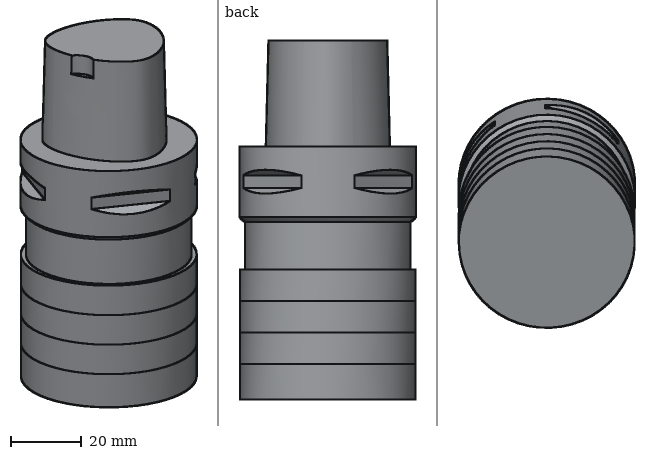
import cadquery as cq
import math

TOTAL_HEIGHT = 101.7
SHANK_HEIGHT = 30.0
FLANGE_HEIGHT = 20.0
DISC_STACK_HEIGHT = 36.9
FLANGE_TOP = TOTAL_HEIGHT - SHANK_HEIGHT
FLANGE_BOTTOM = FLANGE_TOP - FLANGE_HEIGHT

FLANGE_RADIUS = 50.0 / 2
NECK_RADIUS = 47.0 / 2
FLANGE_CHAMFER = 0.8
NECK_CONE_HEIGHT = 0.5

SHANK_BASE_RADIUS = 17.6
LOBE_HEIGHT = 1.2
TAPER = 1 / 40
SHANK_TOP_RADIUS = SHANK_BASE_RADIUS - SHANK_HEIGHT * TAPER
LOBE_COUNT = 3
LOBE_SPAN = 71.0
FIRST_LOBE_ANGLE = 90.0

NOTCH_RADIUS = 4.9
NOTCH_INNER_Y = -13.9
NOTCH_DEPTH = 5.6

SLOT_COUNT = 4
SLOT_FIRST_ANGLE = 45.0
SLOT_CENTER_Z = 61.7
SLOT_FLOOR_HEIGHT = 3.5
SLOT_FLOOR_DISTANCE = 22.2
SLOT_FLANK_ANGLE = 30.0

DISC_COUNT = 4
DISC_RADIUS = 24.9
DISC_HEIGHT = 9.0
END_DISC_HEIGHT = DISC_STACK_HEIGHT - (DISC_COUNT - 1) * DISC_HEIGHT


def shank_face_edge(mean_radius, z, start_angle, end_angle):
    """Part of the lobed outline whose outward normals lie between two angles."""
    span = end_angle - start_angle

    def outline_point(fraction):
        normal = math.radians(start_angle + span * fraction)
        turn = math.radians(FIRST_LOBE_ANGLE)
        phase = LOBE_COUNT * (normal - turn)
        support = mean_radius + LOBE_HEIGHT * math.cos(phase)
        slope = -LOBE_COUNT * LOBE_HEIGHT * math.sin(phase)
        x = support * math.cos(normal) - slope * math.sin(normal)
        y = support * math.sin(normal) + slope * math.cos(normal)
        return x, y, z

    return cq.Workplane("XY").parametricCurve(outline_point, N=20, makeWire=False).val()


def shank_outline(mean_radius, z):
    """Closed outline of alternating lobe and flat faces."""
    pitch = 360.0 / LOBE_COUNT
    edges = []
    for index in range(LOBE_COUNT):
        lobe_start = FIRST_LOBE_ANGLE + index * pitch - LOBE_SPAN / 2
        lobe_end = lobe_start + LOBE_SPAN
        edges.append(shank_face_edge(mean_radius, z, lobe_start, lobe_end))
        edges.append(shank_face_edge(mean_radius, z, lobe_end, lobe_start + pitch))
    return cq.Wire.assembleEdges(edges)


def make_shank():
    """Tapered shank with its key notch."""
    base = shank_outline(SHANK_BASE_RADIUS, FLANGE_TOP)
    top = shank_outline(SHANK_TOP_RADIUS, TOTAL_HEIGHT)
    shank = cq.Workplane(cq.Solid.makeLoft([base, top], True))
    notch = (
        cq.Workplane("XY", origin=(0, NOTCH_INNER_Y - NOTCH_RADIUS, TOTAL_HEIGHT - NOTCH_DEPTH))
        .circle(NOTCH_RADIUS)
        .extrude(NOTCH_DEPTH)
    )
    return shank.cut(notch)


def make_flange_and_neck():
    """Turned flange with a chamfered lower edge that steps in to the neck."""
    chamfer_bottom = FLANGE_BOTTOM - FLANGE_CHAMFER
    return (
        cq.Workplane("XZ")
        .moveTo(0, DISC_STACK_HEIGHT)
        .lineTo(NECK_RADIUS, DISC_STACK_HEIGHT)
        .lineTo(NECK_RADIUS, chamfer_bottom - NECK_CONE_HEIGHT)
        .lineTo(FLANGE_RADIUS - FLANGE_CHAMFER, chamfer_bottom)
        .lineTo(FLANGE_RADIUS, FLANGE_BOTTOM)
        .lineTo(FLANGE_RADIUS, FLANGE_TOP)
        .lineTo(0, FLANGE_TOP)
        .close()
        .revolve(360, (0, 0), (0, 1))
    )


def make_gripper_slot(angle):
    """Straight slot cutter with a flat floor and flanks that open outward."""
    half_floor = SLOT_FLOOR_HEIGHT / 2
    reach = FLANGE_RADIUS - SLOT_FLOOR_DISTANCE
    half_mouth = half_floor + reach * math.tan(math.radians(SLOT_FLANK_ANGLE))
    return (
        cq.Workplane("XZ")
        .moveTo(SLOT_FLOOR_DISTANCE, SLOT_CENTER_Z - half_floor)
        .lineTo(FLANGE_RADIUS, SLOT_CENTER_Z - half_mouth)
        .lineTo(FLANGE_RADIUS, SLOT_CENTER_Z + half_mouth)
        .lineTo(SLOT_FLOOR_DISTANCE, SLOT_CENTER_Z + half_floor)
        .close()
        .extrude(FLANGE_RADIUS, both=True)
        .rotate((0, 0, 0), (0, 0, 1), angle)
    )


def make_holder():
    """Tool holder: shank, slotted flange and neck in one piece."""
    body = make_flange_and_neck()
    for index in range(SLOT_COUNT):
        body = body.cut(make_gripper_slot(SLOT_FIRST_ANGLE + index * 360.0 / SLOT_COUNT))
    return body.union(make_shank())


def make_disc(bottom_z, height):
    """Plain round cutter disc."""
    return cq.Workplane("XY", origin=(0, 0, bottom_z)).circle(DISC_RADIUS).extrude(height)


holder = make_holder()
end_disc = make_disc(0, END_DISC_HEIGHT)
upper_discs = []
for level in range(DISC_COUNT - 1):
    disc = make_disc(END_DISC_HEIGHT + level * DISC_HEIGHT, DISC_HEIGHT)
    upper_discs.append(disc.val())

result = cq.Compound.makeCompound([holder.val(), end_disc.val(), *upper_discs])